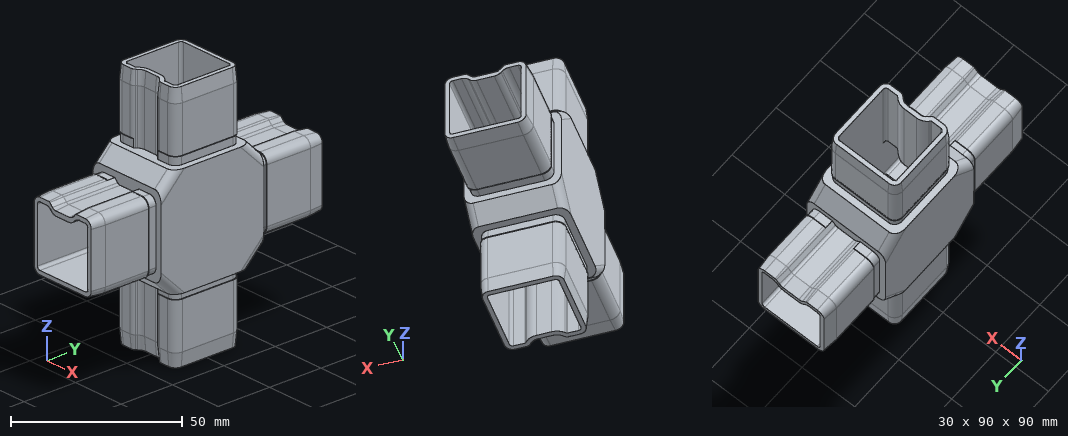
import cadquery as cq
import math

span = 90.0
hub_thickness = 30.0
hub_size = 40.0
hub_chamfer = (hub_size - hub_thickness) / 2
hub_fillet = 2.9

tube_width = 26.0
tube_corner = 3.1
bore_width = 22.0
wall = (tube_width - bore_width) / 2

flank_angle = math.radians(45)
z_groove = (2.0, 4.7, 3.0, 2.3)
y_groove = (2.0, 5.9, 1.5, 1.1)
y_bore_ridge = (2.2, 5.4, 3.0, 3.0)

neck_length = 3.0
neck_step = 0.3
tip_length = 5.0
tip_taper = 0.5
tube_start = hub_size / 2
tube_end = span / 2


def arc_point(center, radius, angle):
    """Point on a circle, with the angle measured from +Y towards +X."""
    return (center[0] + radius * math.sin(angle), center[1] + radius * math.cos(angle))


def mirrored(point):
    return (-point[0], point[1])


def grooved_section(groove, height, inset=0.0, groove_inset=0.0):
    """Tube outline at a height, with its groove towards -Y.

    The square is moved inwards by inset, and the arcs of the groove by groove_inset.
    """
    depth, floor_width, base_foot_radius, base_rim_radius = groove
    half = tube_width / 2 - inset
    corner = tube_corner - inset
    foot_radius = base_foot_radius + groove_inset
    rim_radius = base_rim_radius - groove_inset

    arcs_radius = base_foot_radius + base_rim_radius
    flank_drop = depth - arcs_radius * (1 - math.cos(flank_angle))
    flank_run = flank_drop / math.tan(flank_angle)

    floor_half = floor_width / 2
    floor_y = depth - half
    foot_center = (floor_half, floor_y - foot_radius)
    rim_center = (floor_half + arcs_radius * math.sin(flank_angle) + flank_run, rim_radius - half)
    corner_center = (half - corner, half - corner)

    floor_end = (floor_half, floor_y)
    foot_middle = arc_point(foot_center, foot_radius, flank_angle / 2)
    foot_end = arc_point(foot_center, foot_radius, flank_angle)
    rim_start = arc_point(rim_center, rim_radius, flank_angle + math.pi)
    rim_middle = arc_point(rim_center, rim_radius, flank_angle / 2 + math.pi)
    rim_end = (rim_center[0], -half)
    lower_corner = (half - corner, -half)
    lower_middle = arc_point((half - corner, corner - half), corner, 3 * math.pi / 4)
    lower_side = (half, corner - half)
    upper_side = (half, half - corner)
    upper_middle = arc_point(corner_center, corner, math.pi / 4)
    upper_corner = (half - corner, half)

    return (
        cq.Workplane("XY", origin=(0, 0, height))
        .moveTo(*mirrored(floor_end))
        .lineTo(*floor_end)
        .threePointArc(foot_middle, foot_end)
        .lineTo(*rim_start)
        .threePointArc(rim_middle, rim_end)
        .lineTo(*lower_corner)
        .threePointArc(lower_middle, lower_side)
        .lineTo(*upper_side)
        .threePointArc(upper_middle, upper_corner)
        .lineTo(*mirrored(upper_corner))
        .threePointArc(mirrored(upper_middle), mirrored(upper_side))
        .lineTo(*mirrored(lower_side))
        .threePointArc(mirrored(lower_middle), mirrored(lower_corner))
        .lineTo(*mirrored(rim_end))
        .threePointArc(mirrored(rim_middle), mirrored(rim_start))
        .lineTo(*mirrored(foot_end))
        .threePointArc(mirrored(foot_middle), mirrored(floor_end))
        .close()
    )


def hub():
    """Block with its four X-direction edges chamfered and the chamfers rounded into the flat sides."""
    block = (
        cq.Workplane("XY")
        .box(hub_thickness, hub_size, hub_size)
        .edges("|X")
        .chamfer(hub_chamfer)
    )
    slanted_edges = block.faces("<X or >X").edges("(not |Y) and (not |Z)")
    return slanted_edges.fillet(hub_fillet)


def neck(groove):
    """Tube section trimmed to a slightly smaller square, so that the groove keeps its size."""
    neck_width = tube_width - 2 * neck_step
    trim = (
        cq.Workplane("XY", origin=(0, 0, tube_start))
        .rect(neck_width, neck_width)
        .extrude(neck_length)
        .edges("|Z")
        .fillet(tube_corner - neck_step)
    )
    return grooved_section(groove, tube_start).extrude(neck_length).intersect(trim)


def solid_tube(groove):
    """Upward tube before boring: neck, straight sleeve and tapered tip."""
    sleeve_start = tube_start + neck_length
    sleeve_end = tube_end - tip_length
    sleeve = grooved_section(groove, sleeve_start).extrude(sleeve_end - sleeve_start)
    wide_wire = grooved_section(groove, sleeve_end).val()
    narrow_wire = grooved_section(groove, tube_end, tip_taper, tip_taper).val()
    tip = cq.Workplane(cq.Solid.makeLoft([wide_wire, narrow_wire], True))
    return neck(groove).union(sleeve).union(tip)


def bore(groove, groove_inset):
    """Passage from tip to tip, with the groove showing as a ridge along it."""
    return grooved_section(groove, -tube_end, wall, groove_inset).extrude(span)


def turned_to_y(shape):
    """Turn a Z-direction shape to lie along Y, which brings its groove to +Z."""
    return shape.rotate((0, 0, 0), (1, 0, 0), -90)


z_tube = solid_tube(z_groove)
y_tube = turned_to_y(solid_tube(y_groove))
z_bore = bore(z_groove, wall)
y_bore = turned_to_y(bore(y_bore_ridge, 0))

result = hub()
for tube in [z_tube, z_tube.mirror("XY"), y_tube, y_tube.mirror("XZ")]:
    result = result.union(tube)
result = result.cut(z_bore).cut(y_bore)